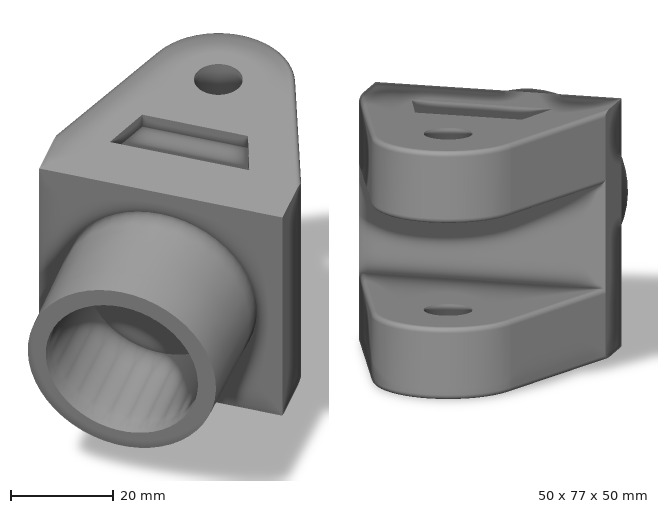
import cadquery as cq
import math

total_length = 77.0
body_width = 50.0
tube_length = 25.0
block_thickness = 12.0

plate_thickness = 14.5
tip_radius = 15.0
pin_hole_diameter = 9.55
edge_radius = 1.0

tube_root_radius = 19.7
tube_mouth_radius = 19.3
bore_floor_radius = 15.3
bore_mouth_radius = 15.6

recess_depth = 3.0
recess_length = 10.0
recess_long_side = 28.65
recess_short_side = 21.7

half_width = body_width / 2
block_back = tube_length + block_thickness
pin_y = total_length - tip_radius
gap_height = body_width - 2 * plate_thickness


def make_body():
    """Extruded outline whose slanted flanks run tangent into the round tip."""
    flank_rise = pin_y - block_back
    corner_distance = math.hypot(half_width, flank_rise)
    tangent_angle = math.acos(tip_radius / corner_distance) - math.atan2(flank_rise, half_width)
    tangent_x = tip_radius * math.cos(tangent_angle)
    tangent_y = pin_y + tip_radius * math.sin(tangent_angle)
    return (
        cq.Workplane("XY", origin=(0, 0, -half_width))
        .moveTo(-half_width, tube_length)
        .lineTo(half_width, tube_length)
        .lineTo(half_width, block_back)
        .lineTo(tangent_x, tangent_y)
        .threePointArc((0, total_length), (-tangent_x, tangent_y))
        .lineTo(-half_width, block_back)
        .close()
        .extrude(body_width)
    )


def make_fork_gap():
    """Slot between the two plates, open at the tip and on both flanks."""
    gap_length = total_length - block_back
    return cq.Workplane("XY").box(body_width, gap_length, gap_height).translate(
        (0, block_back + gap_length / 2, 0)
    )


def round_plate_edges(fork):
    """Round the flank and tip edges on both faces of each plate."""
    tip_and_flanks = cq.selectors.BoxSelector(
        (-half_width, block_back + edge_radius, -body_width),
        (half_width, total_length + edge_radius, body_width),
    )
    plate_faces = fork.faces("|Z")
    return plate_faces.edges(tip_and_flanks).edges("#Z").fillet(edge_radius)


def make_cone(root_radius, mouth_radius):
    """Tapered plug from the block face to the tube mouth."""
    return cq.Workplane(
        cq.Solid.makeCone(mouth_radius, root_radius, tube_length, cq.Vector(0, 0, 0), cq.Vector(0, 1, 0))
    )


def make_recess():
    """Shallow trapezoid, wide end level with the back of the block."""
    return (
        cq.Workplane("XY", origin=(0, block_back, half_width - recess_depth))
        .polyline([
            (-recess_long_side / 2, 0),
            (recess_long_side / 2, 0),
            (recess_short_side / 2, recess_length),
            (-recess_short_side / 2, recess_length),
        ])
        .close()
        .extrude(recess_depth)
    )


fork = round_plate_edges(make_body().cut(make_fork_gap()))
pin_hole = (
    cq.Workplane("XY", origin=(0, pin_y, -half_width))
    .circle(pin_hole_diameter / 2)
    .extrude(body_width)
)
tube = make_cone(tube_root_radius, tube_mouth_radius)
bore = make_cone(bore_floor_radius, bore_mouth_radius)

result = fork.union(tube).cut(bore).cut(pin_hole).cut(make_recess())